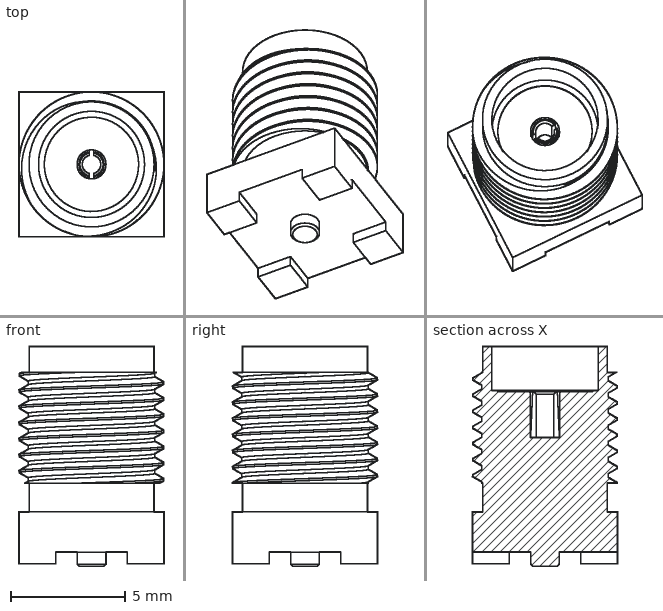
import cadquery as cq
import math

BASE_WIDTH = 6.35
BASE_TOP = 2.27
CHANNEL_WIDTH = 3.12
CHANNEL_DEPTH = 0.51

BARREL_DIAMETER = 5.48
BARREL_TOP = 9.52
BORE_DIAMETER = 4.65
BORE_DEPTH = 1.92
RECESS_DIAMETER = 4.13
RECESS_DEPTH = 0.06
RECESS_FLOOR = BARREL_TOP - BORE_DEPTH - RECESS_DEPTH

THREAD_DIAMETER = BASE_WIDTH
MM_PER_INCH = 25.4
THREADS_PER_INCH = 36
THREAD_PITCH = MM_PER_INCH / THREADS_PER_INCH
THREAD_BOTTOM = 3.53
THREAD_TOP = 8.385
CREST_HEIGHT_AT_PLUS_X = 7.92
CREST_RADIUS = THREAD_DIAMETER / 2
ROOT_RADIUS = 2.78
CREST_WIDTH = THREAD_PITCH / 8
FLANK_ANGLE = math.radians(30)
ROOT_OVERLAP = 0.03

PIN_DIAMETER = 1.27
PIN_PROTRUSION = 0.11
PIN_CHAMFER = 0.1
SOCKET_DEPTH = 2.0
SOCKET_TIP_DIAMETER = 1.10
SOCKET_MOUTH_DIAMETER = 1.02
SOCKET_HOLE_DIAMETER = 0.81
SOCKET_SLOT_WIDTH = 0.2
SOCKET_FLOOR = RECESS_FLOOR - SOCKET_DEPTH


def cylinder(diameter, bottom, top):
    return cq.Workplane("XY").workplane(offset=bottom).circle(diameter / 2).extrude(top - bottom)


def make_base():
    """Square block with two crossing channels that leave four corner feet."""
    block = cq.Workplane("XY").rect(BASE_WIDTH, BASE_WIDTH).extrude(BASE_TOP)
    for length_x, length_y in ((BASE_WIDTH, CHANNEL_WIDTH), (CHANNEL_WIDTH, BASE_WIDTH)):
        block = block.cut(cq.Workplane("XY").rect(length_x, length_y).extrude(CHANNEL_DEPTH))
    return block


def make_thread():
    """Helical ridge on a root cylinder, cut square at both ends."""
    turns_below = math.ceil((CREST_HEIGHT_AT_PLUS_X - THREAD_BOTTOM) / THREAD_PITCH) + 1
    start = CREST_HEIGHT_AT_PLUS_X - turns_below * THREAD_PITCH
    turns = math.ceil((THREAD_TOP - start) / THREAD_PITCH) + 1

    inner_radius = ROOT_RADIUS - ROOT_OVERLAP
    half_crest = CREST_WIDTH / 2
    half_root = half_crest + (CREST_RADIUS - inner_radius) * math.tan(FLANK_ANGLE)
    profile = cq.Workplane("XZ").polyline([
        (inner_radius, start - half_root),
        (CREST_RADIUS, start - half_crest),
        (CREST_RADIUS, start + half_crest),
        (inner_radius, start + half_root),
    ]).close()
    helix = cq.Wire.makeHelix(THREAD_PITCH, turns * THREAD_PITCH, ROOT_RADIUS, cq.Vector(0, 0, start))
    ridge = profile.sweep(cq.Workplane(helix), isFrenet=True)

    root = cylinder(2 * ROOT_RADIUS, start - THREAD_PITCH, start + (turns + 1) * THREAD_PITCH)
    envelope = cylinder(2 * THREAD_DIAMETER, THREAD_BOTTOM, THREAD_TOP)
    return root.union(ridge).intersect(envelope)


def make_pin():
    """Solder pin below the base, with a chamfered tip."""
    pin = cylinder(PIN_DIAMETER, -PIN_PROTRUSION, BASE_TOP)
    return pin.faces("<Z").chamfer(PIN_CHAMFER)


def make_socket_fingers():
    """Socket wall that tapers toward its tip, bevelled at the mouth and split by a slot along Y."""
    mouth_radius = SOCKET_MOUTH_DIAMETER / 2
    hole_radius = SOCKET_HOLE_DIAMETER / 2
    bevel = mouth_radius - hole_radius
    wall = cq.Workplane("XZ").polyline([
        (hole_radius, SOCKET_FLOOR),
        (PIN_DIAMETER / 2, SOCKET_FLOOR),
        (SOCKET_TIP_DIAMETER / 2, RECESS_FLOOR),
        (mouth_radius, RECESS_FLOOR),
        (hole_radius, RECESS_FLOOR - bevel),
    ]).close().revolve(360, (0, 0, 0), (0, 1, 0))
    slot = cq.Workplane("XY").workplane(offset=SOCKET_FLOOR)
    slot = slot.rect(SOCKET_SLOT_WIDTH, 2 * PIN_DIAMETER).extrude(SOCKET_DEPTH)
    return wall.cut(slot)


barrel = cylinder(BARREL_DIAMETER, BASE_TOP, BARREL_TOP)
bore = cylinder(BORE_DIAMETER, BARREL_TOP - BORE_DEPTH, BARREL_TOP)
recess = cylinder(RECESS_DIAMETER, RECESS_FLOOR, BARREL_TOP)
socket_clearance = cylinder(PIN_DIAMETER, SOCKET_FLOOR, BARREL_TOP)

result = make_base().union(barrel).union(make_thread())
result = result.cut(bore).cut(recess).cut(socket_clearance)
result = result.union(make_pin()).union(make_socket_fingers())